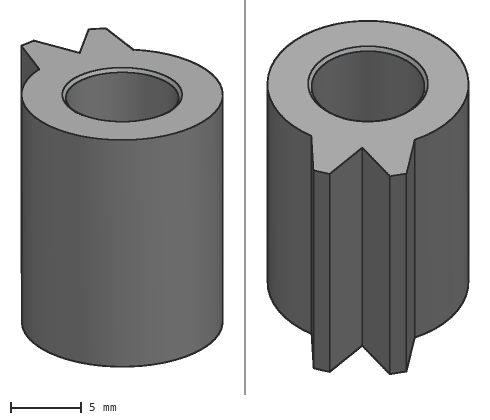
import cadquery as cq

height = 18.0
outer_radius = 7.13
bore_radius = 4.0
bore_chamfer = 0.25

root_x, root_y = 6.91, 1.73
tip_outer_x, tip_outer_y = 9.38, 4.72
tip_inner_x, tip_inner_y = 8.82, 5.8
notch_offset = 5.11


def make_sleeve_body():
    return cq.Workplane("XY").circle(outer_radius).extrude(height)


def make_forked_rib():
    """Two pointed prongs with a V notch between them, running the full height."""
    lower_prong = [
        (-root_x, root_y),
        (-tip_outer_x, tip_outer_y),
        (-tip_inner_x, tip_inner_y),
    ]
    upper_prong = [(-y, -x) for x, y in reversed(lower_prong)]
    notch = [(-notch_offset, notch_offset)]
    outline = lower_prong + notch + upper_prong
    return cq.Workplane("XY").polyline(outline).close().extrude(height)


def make_bore():
    """Through bore, widened by a chamfer at the top rim."""
    bore = cq.Workplane("XY").circle(bore_radius).extrude(height)
    rim = (
        cq.Workplane("XY")
        .workplane(offset=height)
        .circle(bore_radius + bore_chamfer)
        .extrude(-bore_chamfer, taper=45)
    )
    return bore.union(rim)


result = make_sleeve_body().union(make_forked_rib()).cut(make_bore())